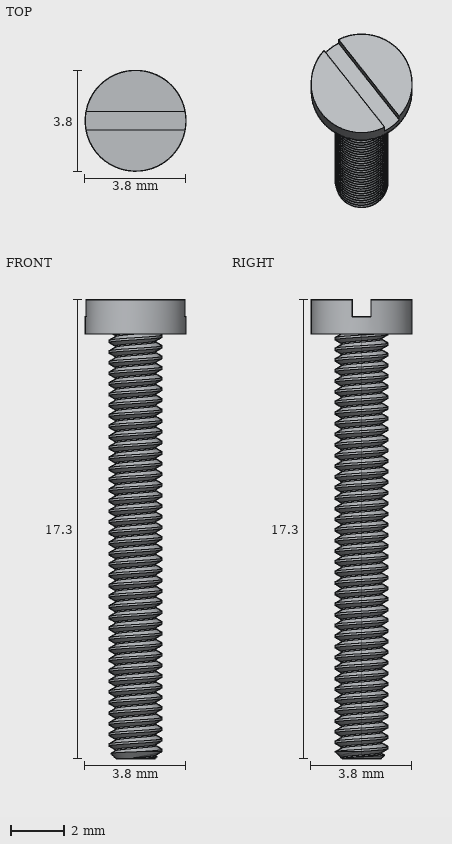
import cadquery as cq
import math

HEAD_DIAMETER = 3.8
HEAD_HEIGHT = 1.3
SLOT_WIDTH = 0.7
SLOT_DEPTH = 0.64

TOTAL_HEIGHT = 17.3
SHANK_LENGTH = TOTAL_HEIGHT - HEAD_HEIGHT
TIP_CHAMFER = 0.28

THREAD_DIAMETER = 2.0
TURN_COUNT = 40
PITCH = SHANK_LENGTH / TURN_COUNT
FLANK_ANGLE = 30.0
CREST_WIDTH = PITCH / 5
ROOT_WIDTH = PITCH * 7 / 8
FIRST_CREST = 0.81 * PITCH

CREST_RADIUS = THREAD_DIAMETER / 2
RIDGE_HEIGHT = (ROOT_WIDTH - CREST_WIDTH) / 2 / math.tan(math.radians(FLANK_ANGLE))
CORE_RADIUS = CREST_RADIUS - RIDGE_HEIGHT

RIDGE_CORNERS = [
    (CORE_RADIUS, -ROOT_WIDTH / 2),
    (CREST_RADIUS, -CREST_WIDTH / 2),
    (CREST_RADIUS, CREST_WIDTH / 2),
    (CORE_RADIUS, ROOT_WIDTH / 2),
]


def cylinder(radius, bottom, height):
    """Upright cylinder on the screw axis."""
    return cq.Workplane("XY").workplane(offset=bottom).circle(radius).extrude(height)


def make_head():
    """Flat cylindrical head with a straight slot along X across its top."""
    head = cylinder(HEAD_DIAMETER / 2, SHANK_LENGTH, HEAD_HEIGHT)
    slot = (
        cq.Workplane("XY")
        .workplane(offset=TOTAL_HEIGHT)
        .rect(HEAD_DIAMETER, SLOT_WIDTH)
        .extrude(-SLOT_DEPTH)
    )
    return head.cut(slot)


def helix_turn(radius, bottom):
    """One turn of a right-handed helix that starts on the +X side."""
    return cq.Wire.makeHelix(PITCH, PITCH, radius).translate(cq.Vector(0, 0, bottom))


def ridge_end(height):
    """Flat face that closes the ridge, on the +X side."""
    points = [cq.Vector(radius, 0, height + offset) for radius, offset in RIDGE_CORNERS]
    return cq.Face.makeFromWires(cq.Wire.makePolygon(points, close=True))


def make_ridge(start, turns):
    """Helical thread ridge, made of four ruled faces per turn and a flat face at each end."""
    faces = [ridge_end(start), ridge_end(start + turns * PITCH)]
    for turn in range(turns):
        center = start + turn * PITCH
        helices = [helix_turn(radius, center + offset) for radius, offset in RIDGE_CORNERS]
        for index, helix in enumerate(helices):
            faces.append(cq.Face.makeRuledSurface(helices[index - 1], helix))
    return cq.Workplane(cq.Solid.makeSolid(cq.Shell.makeShell(faces)))


def make_shank():
    """Core and thread ridge in one solid, square under the head and chamfered at the tip."""
    overrun = 2
    ridge = make_ridge(FIRST_CREST - overrun * PITCH, TURN_COUNT + 2 * overrun)
    margin = 2 * overrun * PITCH
    above = cylinder(HEAD_DIAMETER / 2, SHANK_LENGTH, margin)
    below = cylinder(HEAD_DIAMETER / 2, 0, -margin)
    chamfered_rod = cylinder(CREST_RADIUS, 0, 2 * TIP_CHAMFER).faces("<Z").chamfer(TIP_CHAMFER)
    chamfer_waste = cylinder(HEAD_DIAMETER / 2, 0, TIP_CHAMFER).cut(chamfered_rod)

    core = cylinder(CORE_RADIUS, 0, SHANK_LENGTH).cut(chamfer_waste)
    thread = ridge.cut(above).cut(below).cut(chamfer_waste)
    return core.union(thread)


head = make_head()
shank = make_shank()
result = cq.Compound.makeCompound([head.solids().val(), shank.solids().val()])